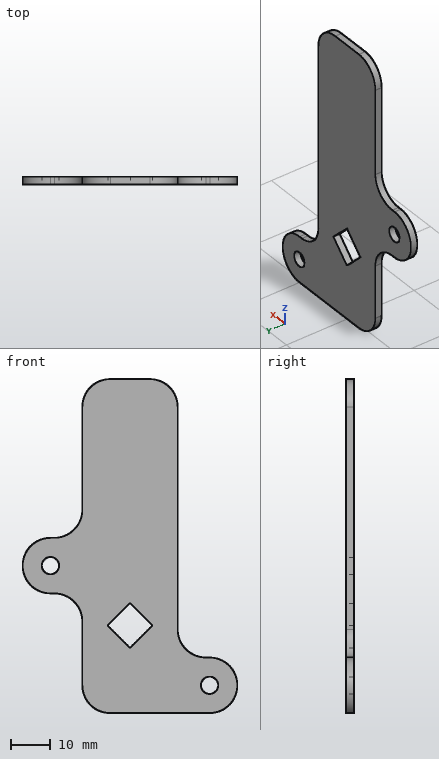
import cadquery as cq

height = 84.0
width = 54.0
thickness = 2.0
body_width = 24.0

lug_offset_x = 20.0
lug_offset_z = 15.0
lug_radius = width / 2 - lug_offset_x
corner_radius = lug_radius

lug_hole_diameter = 4.3
square_side = 8.0

side_x = body_width / 2
right_lug_z = lug_radius
square_z = right_lug_z + lug_offset_z
left_lug_z = square_z + lug_offset_z
right_lug_top = right_lug_z + lug_radius
left_lug_bottom = left_lug_z - lug_radius
left_lug_top = left_lug_z + lug_radius
blend_x = side_x + corner_radius
corner_x = side_x - corner_radius


def arc_to(sketch, x, z):
    """Continue the outline with an arc tangent to the previous stretch."""
    return sketch.tangentArcPoint((x, z), relative=False)


def make_plate():
    """Extrude the outline, drawn counter-clockwise from the bottom edge."""
    outline = cq.Workplane("XZ").moveTo(-corner_x, 0).lineTo(lug_offset_x, 0)
    outline = arc_to(outline, lug_offset_x, right_lug_top).lineTo(blend_x, right_lug_top)
    outline = arc_to(outline, side_x, right_lug_top + corner_radius)
    outline = outline.lineTo(side_x, height - corner_radius)
    outline = arc_to(outline, corner_x, height).lineTo(-corner_x, height)
    outline = arc_to(outline, -side_x, height - corner_radius)
    outline = outline.lineTo(-side_x, left_lug_top + corner_radius)
    outline = arc_to(outline, -blend_x, left_lug_top).lineTo(-lug_offset_x, left_lug_top)
    outline = arc_to(outline, -lug_offset_x, left_lug_bottom).lineTo(-blend_x, left_lug_bottom)
    outline = arc_to(outline, -side_x, left_lug_bottom - corner_radius)
    outline = outline.lineTo(-side_x, corner_radius)
    outline = arc_to(outline, -corner_x, 0)
    return outline.close().extrude(thickness)


def make_lug_holes():
    centers = [(-lug_offset_x, left_lug_z), (lug_offset_x, right_lug_z)]
    return cq.Workplane("XZ").pushPoints(centers).circle(lug_hole_diameter / 2).extrude(thickness)


def make_square_hole():
    """Square standing on its corner."""
    square = cq.Workplane("XZ").center(0, square_z).transformed(rotate=(0, 0, 45))
    return square.rect(square_side, square_side).extrude(thickness)


result = make_plate().cut(make_lug_holes()).cut(make_square_hole())